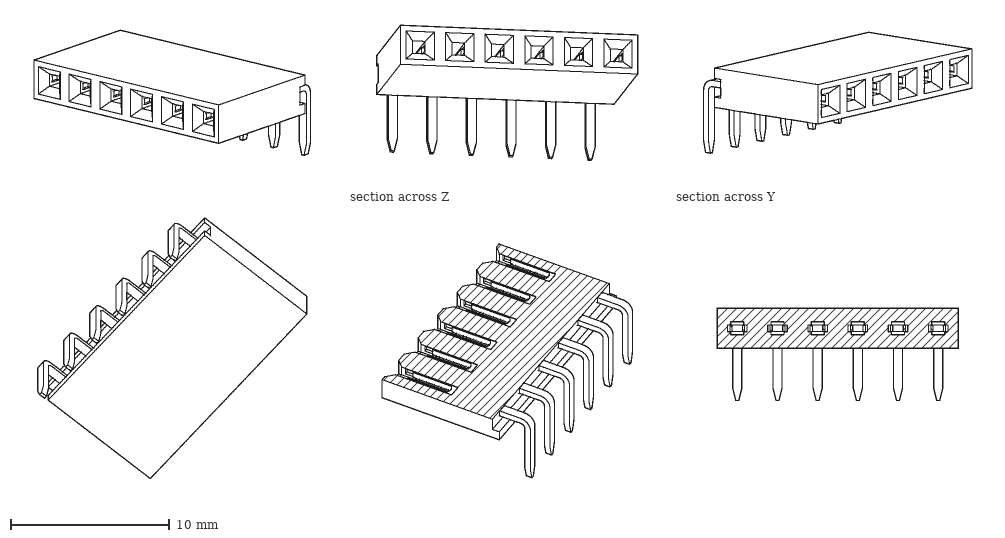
import cadquery as cq

row_length = 15.23
section_count = 3
positions_per_section = 2
contact_count = section_count * positions_per_section
pitch = row_length / contact_count
section_length = pitch * positions_per_section

housing_depth = 8.5
housing_height = 2.55
channel_depth = 0.5
channel_height = 1.2
funnel_mouth = 1.81
funnel_throat = 0.8
funnel_depth = 0.5
socket_depth = 4.57
tine_clearance_start_y = 0.78
mid_height = housing_height / 2
channel_floor_y = housing_depth - channel_depth

sheet_thickness = 0.41
overall_depth = 10.2
overall_height = 5.83
bend_inner_radius = 0.3
bend_outer_radius = bend_inner_radius + sheet_thickness
tail_width = 0.6
tail_tip_width = 0.2
tail_tip_length = 0.79
tail_bottom_z = housing_height - overall_height
fork_width = 1.22
fork_tip_y = 1.37
tine_end_slant = 0.14
fork_gap = 0.64
fork_gap_bottom_y = 4.26
gap_arc_rise = 0.1
root_fillet = (fork_width - tail_width) / 2
root_protrusion = 0.1
root_end_y = channel_floor_y + root_protrusion

strip_length = pitch * (contact_count - 1)
strip_width = 0.3
strip_y = root_end_y - root_fillet - strip_width

diagonal = 0.5**0.5

contact_centres = [(index + 0.5) * pitch for index in range(contact_count)]


def make_section(start_x):
    """One two-position length of housing with the channel along its rear face."""
    block = cq.Workplane("XY").box(section_length, housing_depth, housing_height, centered=False)
    channel = (
        cq.Workplane("XY")
        .box(section_length, channel_depth, channel_height, centered=(False, False, True))
        .translate((0, channel_floor_y, mid_height))
    )
    return block.cut(channel).translate((start_x, 0, 0))


def make_socket(centre_x):
    """Square lead-in funnel, a straight square hole, and side slots that give the tines room in front."""
    mouth_plane = cq.Plane(origin=(centre_x, 0, mid_height), xDir=(1, 0, 0), normal=(0, 1, 0))
    tine_clearance_length = fork_tip_y + tine_end_slant - tine_clearance_start_y
    funnel = (
        cq.Workplane(mouth_plane)
        .rect(funnel_mouth, funnel_mouth)
        .workplane(offset=funnel_depth)
        .rect(funnel_throat, funnel_throat)
        .loft(combine=True)
    )
    hole = cq.Workplane(mouth_plane).rect(funnel_throat, funnel_throat).extrude(socket_depth)
    tine_clearance = (
        cq.Workplane("XY")
        .box(fork_width, tine_clearance_length, sheet_thickness, centered=(True, False, True))
        .translate((centre_x, tine_clearance_start_y, mid_height))
    )
    return funnel.union(hole).union(tine_clearance)


def make_fork():
    """Flat two-tined fork, narrowing at its root to the width of the tail."""
    half_fork = fork_width / 2
    half_gap = fork_gap / 2
    half_tail = tail_width / 2
    tine_shoulder_y = fork_tip_y + tine_end_slant
    gap_arc_y = fork_gap_bottom_y - gap_arc_rise
    root_start_y = root_end_y - root_fillet
    fillet_middle = root_fillet * (1 - diagonal)
    fillet_middle_x = half_tail + fillet_middle
    fillet_middle_y = root_start_y + fillet_middle
    return (
        cq.Workplane("XY", origin=(0, 0, mid_height - sheet_thickness / 2))
        .moveTo(half_gap, fork_tip_y)
        .lineTo(half_fork, tine_shoulder_y)
        .lineTo(half_fork, root_start_y)
        .threePointArc((fillet_middle_x, fillet_middle_y), (half_tail, root_end_y))
        .lineTo(-half_tail, root_end_y)
        .threePointArc((-fillet_middle_x, fillet_middle_y), (-half_fork, root_start_y))
        .lineTo(-half_fork, tine_shoulder_y)
        .lineTo(-half_gap, fork_tip_y)
        .lineTo(-half_gap, gap_arc_y)
        .threePointArc((0, fork_gap_bottom_y), (half_gap, gap_arc_y))
        .close()
        .extrude(sheet_thickness)
    )


def make_tail():
    """Straight lead out of the fork, a right-angle bend down, and a tapered solder tip."""
    top_z = mid_height + sheet_thickness / 2
    underside_z = mid_height - sheet_thickness / 2
    inner_y = overall_depth - sheet_thickness
    bend_y = overall_depth - bend_outer_radius
    bend_z = top_z - bend_outer_radius
    bent_sheet = (
        cq.Workplane("YZ")
        .moveTo(root_end_y, underside_z)
        .lineTo(root_end_y, top_z)
        .lineTo(bend_y, top_z)
        .threePointArc(
            (bend_y + bend_outer_radius * diagonal, bend_z + bend_outer_radius * diagonal),
            (overall_depth, bend_z),
        )
        .lineTo(overall_depth, tail_bottom_z)
        .lineTo(inner_y, tail_bottom_z)
        .lineTo(inner_y, bend_z)
        .threePointArc(
            (bend_y + bend_inner_radius * diagonal, bend_z + bend_inner_radius * diagonal),
            (bend_y, underside_z),
        )
        .close()
        .extrude(tail_width / 2, both=True)
    )
    tip_start_z = tail_bottom_z + tail_tip_length
    front_outline = (
        cq.Workplane("XZ")
        .polyline([
            (-tail_width / 2, top_z),
            (-tail_width / 2, tip_start_z),
            (-tail_tip_width / 2, tail_bottom_z),
            (tail_tip_width / 2, tail_bottom_z),
            (tail_width / 2, tip_start_z),
            (tail_width / 2, top_z),
        ])
        .close()
        .extrude(-overall_depth)
    )
    return bent_sheet.intersect(front_outline)


def make_contacts():
    """All the contacts, joined by the strip that runs between their roots."""
    contact = make_fork().union(make_tail())
    contacts = (
        cq.Workplane("XY")
        .box(strip_length, strip_width, sheet_thickness, centered=(False, False, True))
        .translate((contact_centres[0], strip_y, mid_height))
    )
    for centre_x in contact_centres:
        contacts = contacts.union(contact.translate((centre_x, 0, 0)))
    return contacts


def make_housing(contacts):
    """Joined sections, with sockets and a close-fitting recess for the contacts."""
    housing = make_section(0)
    for index in range(1, section_count):
        housing = housing.union(make_section(index * section_length), clean=False)
    for centre_x in contact_centres:
        housing = housing.cut(make_socket(centre_x), clean=False)
    return housing.cut(contacts, clean=False)


contacts = make_contacts()
housing = make_housing(contacts)
result = cq.Compound.makeCompound([housing.solids().val(), contacts.solids().val()])